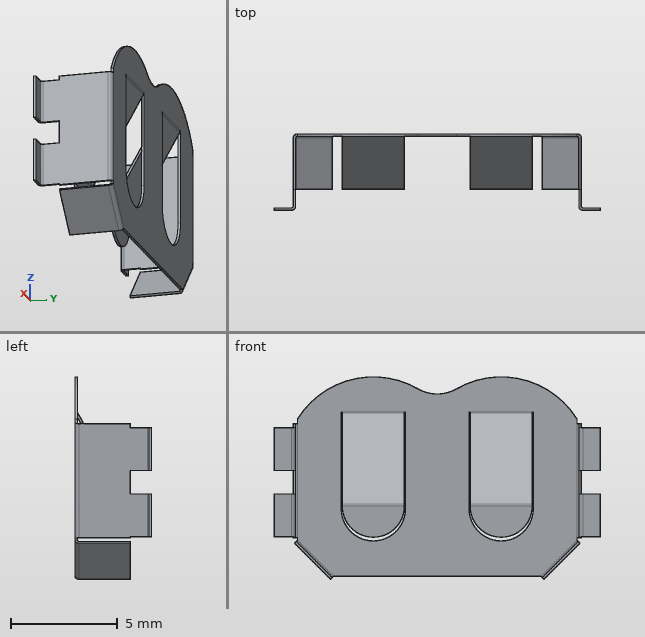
import cadquery as cq
import math

overall_width = 15.3
overall_depth = 3.6

sheet = 0.12
inner_bend = 0.08
outer_bend = inner_bend + sheet
middle_bend = inner_bend + sheet / 2
plate_middle = -sheet / 2
overlap = 0.15

lobe_x = 3.0
lobe_radius = 4.19
plate_height = 9.36
lobe_z = plate_height - lobe_radius
valley_radius = 1.8
corner_cut = 1.7

wall_outer_x = 6.76
wall_bottom = 1.8
wall_height = 5.35
wall_depth = 2.6
foot_height = 2.02
foot_bottoms = (1.85, 4.95)
plate_side_x = wall_outer_x - outer_bend

slot_width = 3.0
slot_top = 7.71
slot_round_z = 3.17
tongue_width = 2.92
tongue_angle = 29.7
tongue_depth = 2.6


def bent_profile(plane, path):
    """Closed section of a sheet whose middle line follows path, with round bends at inner points."""
    left = []
    right = []

    def unit(start, end):
        length = math.dist(start, end)
        return ((end[0] - start[0]) / length, (end[1] - start[1]) / length)

    def shifted(point, direction, distance):
        return (point[0] + direction[0] * distance, point[1] + direction[1] * distance)

    def normal(direction):
        return (-direction[1], direction[0])

    for before, corner, after in zip(path, path[1:], path[2:]):
        entry = unit(before, corner)
        leave = unit(corner, after)
        cross = entry[0] * leave[1] - entry[1] * leave[0]
        turn = math.atan2(cross, entry[0] * leave[0] + entry[1] * leave[1])
        side = math.copysign(1, turn)
        bend_start = shifted(corner, entry, -middle_bend * math.tan(abs(turn) / 2))
        center = shifted(bend_start, normal(entry), side * middle_bend)
        outward = [normal(entry), unit((0, 0), shifted(normal(entry), normal(leave), 1)), normal(leave)]
        for line, offset in ((left, sheet / 2), (right, -sheet / 2)):
            radius = middle_bend - side * offset
            line.append([shifted(center, direction, -side * radius) for direction in outward])

    start_normal = normal(unit(path[0], path[1]))
    end_normal = normal(unit(path[-2], path[-1]))
    profile = cq.Workplane(plane).moveTo(*shifted(path[0], start_normal, sheet / 2))
    for arc_start, arc_middle, arc_end in left:
        profile = profile.lineTo(*arc_start).threePointArc(arc_middle, arc_end)
    profile = profile.lineTo(*shifted(path[-1], end_normal, sheet / 2))
    profile = profile.lineTo(*shifted(path[-1], end_normal, -sheet / 2))
    for arc_end, arc_middle, arc_start in reversed(right):
        profile = profile.lineTo(*arc_start).threePointArc(arc_middle, arc_end)
    return profile.lineTo(*shifted(path[0], start_normal, -sheet / 2)).close()


def make_plate():
    """Flat plate: two lobes joined by a valley, cut lower corners and two slots."""
    shoulder_z = lobe_z + math.sqrt(lobe_radius**2 - (plate_side_x - lobe_x) ** 2)
    center_distance = lobe_radius + valley_radius
    valley_z = lobe_z + math.sqrt(center_distance**2 - lobe_x**2)
    touch_x = lobe_x * valley_radius / center_distance
    touch_z = valley_z - (valley_z - lobe_z) * valley_radius / center_distance
    plate = (
        cq.Workplane("XZ")
        .moveTo(-plate_side_x + corner_cut, 0)
        .lineTo(plate_side_x - corner_cut, 0)
        .lineTo(plate_side_x, corner_cut)
        .lineTo(plate_side_x, shoulder_z)
        .threePointArc((lobe_x, plate_height), (touch_x, touch_z))
        .threePointArc((0, valley_z - valley_radius), (-touch_x, touch_z))
        .threePointArc((-lobe_x, plate_height), (-plate_side_x, shoulder_z))
        .lineTo(-plate_side_x, corner_cut)
        .close()
        .extrude(sheet)
    )
    for x in (-lobe_x, lobe_x):
        plate = plate.cut(round_ended(x, slot_width, slot_top, slot_round_z, sheet))
    return plate


def round_ended(x, width, top, round_z, depth):
    """Block reaching forward from Y = 0, square at the top and round at the bottom."""
    half = width / 2
    return (
        cq.Workplane("XZ")
        .moveTo(x - half, top)
        .lineTo(x - half, round_z)
        .threePointArc((x, round_z - half), (x + half, round_z))
        .lineTo(x + half, top)
        .close()
        .extrude(depth)
    )


def make_tongue(x):
    """Spring tongue slanting forward from the slot top, with an upright round tip."""
    angle = math.radians(tongue_angle)
    bend_length = middle_bend * math.tan(angle / 2)
    root_z = slot_top - bend_length
    tip_y = -tongue_depth + sheet / 2
    knee_z = root_z - (plate_middle - tip_y) / math.tan(angle)
    tip_round_z = knee_z - bend_length
    path = [
        (plate_middle, slot_top + overlap),
        (plate_middle, root_z),
        (tip_y, knee_z),
        (tip_y, tip_round_z - tongue_width / 2),
    ]
    strip = bent_profile("YZ", path).extrude(tongue_width / 2, both=True).translate((x, 0, 0))
    return strip.intersect(round_ended(x, tongue_width, slot_top + overlap, tip_round_z, tongue_depth))


def make_side_wall():
    """Left wall bent forward off the plate, ending in two feet bent outward."""
    wall_x = -wall_outer_x + sheet / 2
    foot_y = -overall_depth + sheet / 2
    wall_path = [(-plate_side_x + overlap, plate_middle), (wall_x, plate_middle), (wall_x, -wall_depth)]
    foot_path = [(wall_x, -wall_depth + overlap), (wall_x, foot_y), (-overall_width / 2, foot_y)]
    wall = bent_profile("XY", wall_path).extrude(wall_height).translate((0, 0, wall_bottom))
    for bottom in foot_bottoms:
        wall = wall.union(bent_profile("XY", foot_path).extrude(foot_height).translate((0, 0, bottom)))
    return wall


def make_corner_flap():
    """Flap bent forward along the cut lower left corner."""
    edge_middle = (-plate_side_x + corner_cut / 2, 0, corner_cut / 2)
    edge_length = corner_cut * math.sqrt(2)
    across_edge = cq.Plane(origin=edge_middle, xDir=(-1, 0, -1), normal=(1, 0, -1))
    flap_x = outer_bend - sheet / 2
    path = [(-overlap, plate_middle), (flap_x, plate_middle), (flap_x, -wall_depth)]
    return bent_profile(across_edge, path).extrude(edge_length / 2, both=True)


result = make_plate()
for x in (-lobe_x, lobe_x):
    result = result.union(make_tongue(x))
for left_part in (make_side_wall(), make_corner_flap()):
    result = result.union(left_part).union(left_part.mirror("YZ"))